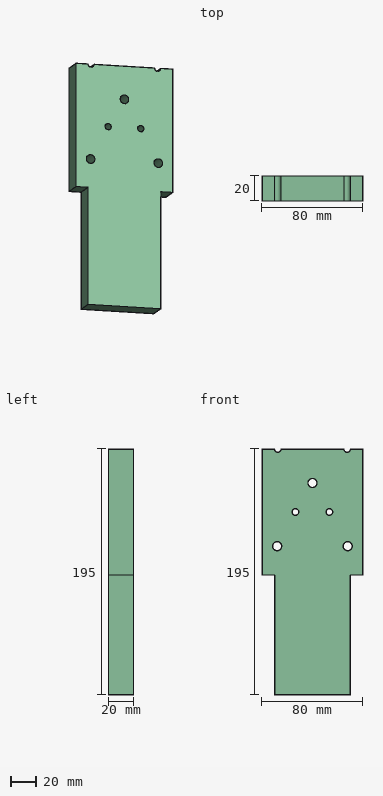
import cadquery as cq

height = 195.0
thickness = 20.0
head_width = 80.0
head_height = 100.0
tab_width = 60.0
tab_height = height - head_height

large_hole_diameter = 7.0
small_hole_diameter = 5.0
top_hole_depth = 27.0
small_hole_spacing = 27.0
small_hole_depth = 50.0
lower_hole_spacing = 56.0
lower_hole_depth = 77.0

groove_width = 5.0
groove_spacing = 55.0


def block(width, block_height, bottom):
    """Box centred on X and Y, standing on the given Z level."""
    return (
        cq.Workplane("XY")
        .workplane(offset=bottom)
        .rect(width, thickness)
        .extrude(block_height)
    )


def cylinders_along_y(points, diameter):
    """Cutters through the thickness at the given (X, Z) points."""
    return (
        cq.Workplane("XZ", origin=(0, thickness / 2, 0))
        .pushPoints(points)
        .circle(diameter / 2)
        .extrude(thickness)
    )


def mirrored_pair(spacing, depth):
    """Two points either side of the centre line, below the top edge."""
    return [(side * spacing / 2, height - depth) for side in (-1, 1)]


plate = block(tab_width, tab_height, 0).union(block(head_width, head_height, tab_height))

large_holes = [(0, height - top_hole_depth)] + mirrored_pair(lower_hole_spacing, lower_hole_depth)
small_holes = mirrored_pair(small_hole_spacing, small_hole_depth)
grooves = mirrored_pair(groove_spacing, 0)

result = (
    plate
    .cut(cylinders_along_y(large_holes, large_hole_diameter))
    .cut(cylinders_along_y(small_holes, small_hole_diameter))
    .cut(cylinders_along_y(grooves, groove_width))
)